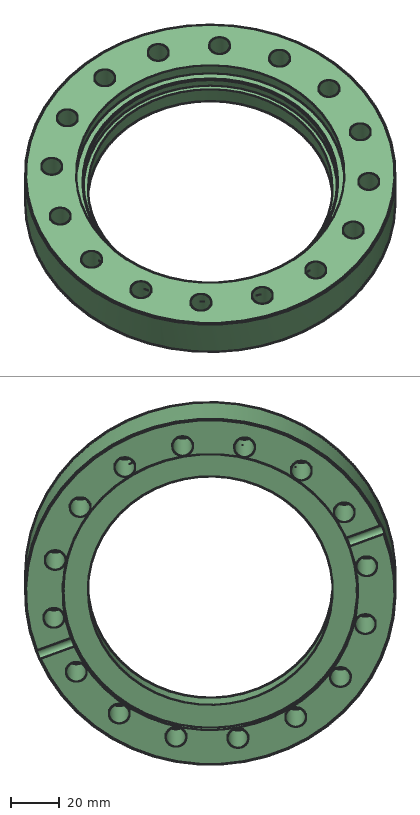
import cadquery as cq

RING_DIAMETER = 152.0
RING_HEIGHT = 20.0
RIM_CHAMFER = 0.5
LIP_BORE_DIAMETER = 110.0
LIP_DEPTH = 5.6
SEAT_DIAMETER = 121.1

BOLT_COUNT = 16
BOLT_HOLE_DIAMETER = 8.5
BOLT_CIRCLE_DIAMETER = 130.3

GROOVE_WIDTH = 4.0
GROOVE_DEPTH = 1.0

INSERT_DIAMETER = 120.4
INSERT_RECESS = 1.7
INSERT_BORE_DIAMETER = 100.3
SOCKET_DIAMETER = 104.0
SOCKET_DEPTH = 4.4
SOCKET_CHAMFER = 0.5

LIP_BOTTOM = RING_HEIGHT - LIP_DEPTH


def cut_bolt_holes(body):
    """Drill the bolt circle, with the X axis midway between two holes."""
    pitch_angle = 360 / BOLT_COUNT
    holes = (
        cq.Workplane("XY")
        .polarArray(BOLT_CIRCLE_DIAMETER / 2, pitch_angle / 2, 360, BOLT_COUNT)
        .circle(BOLT_HOLE_DIAMETER / 2)
        .extrude(RING_HEIGHT)
    )
    return body.cut(holes)


def cut_leak_grooves(body):
    """Cut one arc-bottomed groove across the full diameter, marking both sides of the ring."""
    half_width = GROOVE_WIDTH / 2
    groove = (
        cq.Workplane("YZ")
        .moveTo(-half_width, 0)
        .threePointArc((0, GROOVE_DEPTH), (half_width, 0))
        .close()
        .extrude(RING_DIAMETER / 2, both=True)
    )
    return body.cut(groove)


def make_bolt_ring():
    ring = (
        cq.Workplane("XY")
        .circle(RING_DIAMETER / 2)
        .extrude(RING_HEIGHT)
        .edges()
        .chamfer(RIM_CHAMFER)
    )
    lip_bore = cq.Workplane("XY").circle(LIP_BORE_DIAMETER / 2).extrude(RING_HEIGHT)
    seat = cq.Workplane("XY").circle(SEAT_DIAMETER / 2).extrude(LIP_BOTTOM)
    ring = ring.cut(lip_bore).cut(seat)
    return cut_leak_grooves(cut_bolt_holes(ring))


def make_weld_insert():
    """Revolve the stepped half-section of the insert about Z."""
    outer_radius = INSERT_DIAMETER / 2
    bore_radius = INSERT_BORE_DIAMETER / 2
    socket_radius = SOCKET_DIAMETER / 2
    socket_floor = LIP_BOTTOM - SOCKET_DEPTH
    return (
        cq.Workplane("XZ")
        .moveTo(bore_radius, INSERT_RECESS)
        .lineTo(outer_radius, INSERT_RECESS)
        .lineTo(outer_radius, LIP_BOTTOM)
        .lineTo(socket_radius + SOCKET_CHAMFER, LIP_BOTTOM)
        .lineTo(socket_radius, LIP_BOTTOM - SOCKET_CHAMFER)
        .lineTo(socket_radius, socket_floor)
        .lineTo(bore_radius, socket_floor)
        .close()
        .revolve(360, (0, 0, 0), (0, 1, 0))
    )


bolt_ring = make_bolt_ring()
weld_insert = make_weld_insert()

result = cq.Compound.makeCompound([bolt_ring.solids().val(), weld_insert.val()])